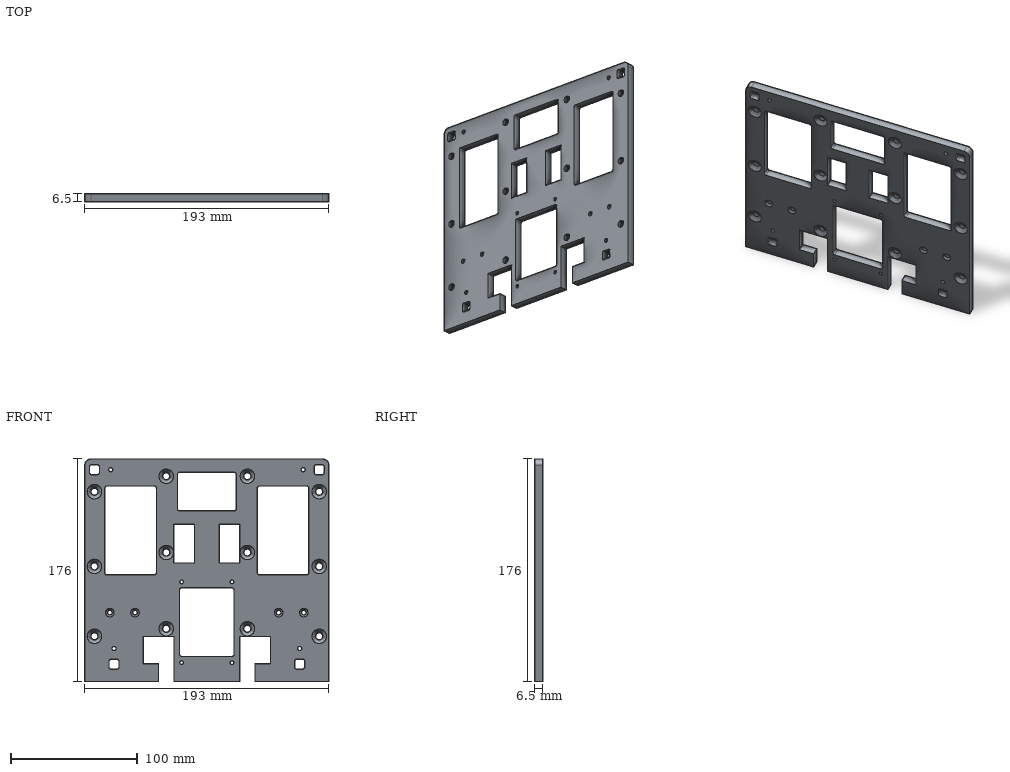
import cadquery as cq

WIDTH = 193.0
HEIGHT = 176.0
THICKNESS = 6.5
TOP_CORNER_RADIUS = 5.0

SCREW_DIAMETER = 5.5
SCREW_HEAD_DIAMETER = 11.4
OUTER_SCREW_X = 88.8
OUTER_SCREW_Z = (35.9, 91.0, 150.2)
INNER_SCREW_X = 32.0
INNER_SCREW_Z = (41.9, 102.1, 162.3)

SMALL_SCREW_DIAMETER = 3.5
SMALL_SCREW_HEAD_DIAMETER = 6.8
SMALL_SCREW_X = (56.7, 76.6)
SMALL_SCREW_Z = 54.6
COUNTERSINK_ANGLE = 90

SQUARE_SIDE = 7.7
SQUARE_CORNER_RADIUS = 1.5
PIN_DIAMETER = 3.0
UPPER_SQUARE_X = OUTER_SCREW_X
UPPER_SQUARE_Z = 167.5
UPPER_PIN_X = 76.0
LOWER_SQUARE_X = 73.3
LOWER_SQUARE_Z = 13.9
LOWER_PIN_Z = 26.2

WINDOW_CORNER_RADIUS = 1.5
SIDE_WINDOW_WIDTH = 40.5
SIDE_WINDOW_HEIGHT = 70.0
SIDE_WINDOW_X = 60.2
SIDE_WINDOW_BOTTOM = 84.5
TOP_WINDOW_WIDTH = 46.3
TOP_WINDOW_HEIGHT = 30.3
TOP_WINDOW_BOTTOM = 135.1
SLOT_WINDOW_WIDTH = 16.0
SLOT_WINDOW_HEIGHT = 30.3
SLOT_WINDOW_X = 18.0
SLOT_WINDOW_BOTTOM = 94.0
LOWER_WINDOW_WIDTH = 42.8
LOWER_WINDOW_HEIGHT = 54.0
LOWER_WINDOW_BOTTOM = 20.0

MOUNT_DIAMETER = 2.7
MOUNT_X = 19.9
MOUNT_Z = (15.0, 79.0)

NOTCH_INNER_X = 26.0
NOTCH_MOUTH_WIDTH = 12.0
NOTCH_WIDTH = 24.1
NOTCH_LEDGE_Z = 14.3
NOTCH_TOP_Z = 35.7


def mirrored(x_places, z_places):
    """Every (x, z) combination, on both sides of the plane of symmetry."""
    return [(side * x, z) for side in (-1, 1) for x in x_places for z in z_places]


def front_sketch():
    """A workplane on the front face, with local axes along X and Z."""
    return cq.Workplane("XZ")


def through(sketch):
    """Extrude a front-face sketch through the full thickness."""
    return sketch.extrude(-THICKNESS)


def round_holes(points, diameter):
    return through(front_sketch().pushPoints(points).circle(diameter / 2))


def rectangular_holes(points, width, height, corner_radius=0):
    holes = through(front_sketch().pushPoints(points).rect(width, height))
    if corner_radius:
        holes = holes.edges("|Y").fillet(corner_radius)
    return holes


def windows(x_places, bottom, width, height, corner_radius=0):
    points = [(x, bottom + height / 2) for x in x_places]
    return rectangular_holes(points, width, height, corner_radius)


def notch(side):
    """L-shaped notch; side is -1 for left and 1 for right."""
    inner = side * NOTCH_INNER_X
    mouth = side * (NOTCH_INNER_X + NOTCH_MOUTH_WIDTH)
    outer = side * (NOTCH_INNER_X + NOTCH_WIDTH)
    outline = [
        (inner, 0),
        (inner, NOTCH_TOP_Z),
        (outer, NOTCH_TOP_Z),
        (outer, NOTCH_LEDGE_Z),
        (mouth, NOTCH_LEDGE_Z),
        (mouth, 0),
    ]
    return through(front_sketch().polyline(outline).close())


def drill_countersunk(body, points, diameter, head_diameter):
    """Through holes countersunk from the front face."""
    face = body.faces("<Y").workplane(origin=(0, 0, 0))
    return face.pushPoints(points).cskHole(diameter, head_diameter, COUNTERSINK_ANGLE)


plate = cq.Workplane("XY").box(WIDTH, THICKNESS, HEIGHT, centered=(True, False, False))
plate = plate.edges("|Y and >Z").fillet(TOP_CORNER_RADIUS)

side_window_x = (-SIDE_WINDOW_X, SIDE_WINDOW_X)
slot_window_x = (-SLOT_WINDOW_X, SLOT_WINDOW_X)
plate = plate.cut(
    windows(side_window_x, SIDE_WINDOW_BOTTOM, SIDE_WINDOW_WIDTH, SIDE_WINDOW_HEIGHT, WINDOW_CORNER_RADIUS)
)
plate = plate.cut(
    windows((0,), TOP_WINDOW_BOTTOM, TOP_WINDOW_WIDTH, TOP_WINDOW_HEIGHT, WINDOW_CORNER_RADIUS)
)
plate = plate.cut(
    windows((0,), LOWER_WINDOW_BOTTOM, LOWER_WINDOW_WIDTH, LOWER_WINDOW_HEIGHT, WINDOW_CORNER_RADIUS)
)
plate = plate.cut(windows(slot_window_x, SLOT_WINDOW_BOTTOM, SLOT_WINDOW_WIDTH, SLOT_WINDOW_HEIGHT))

for notch_side in (-1, 1):
    plate = plate.cut(notch(notch_side))

square_points = mirrored((UPPER_SQUARE_X,), (UPPER_SQUARE_Z,))
square_points += mirrored((LOWER_SQUARE_X,), (LOWER_SQUARE_Z,))
plate = plate.cut(rectangular_holes(square_points, SQUARE_SIDE, SQUARE_SIDE, SQUARE_CORNER_RADIUS))
pin_points = mirrored((UPPER_PIN_X,), (UPPER_SQUARE_Z,))
pin_points += mirrored((LOWER_SQUARE_X,), (LOWER_PIN_Z,))
plate = plate.cut(round_holes(pin_points, PIN_DIAMETER))
plate = plate.cut(round_holes(mirrored((MOUNT_X,), MOUNT_Z), MOUNT_DIAMETER))

screw_points = mirrored((OUTER_SCREW_X,), OUTER_SCREW_Z) + mirrored((INNER_SCREW_X,), INNER_SCREW_Z)
plate = drill_countersunk(plate, screw_points, SCREW_DIAMETER, SCREW_HEAD_DIAMETER)
small_screw_points = mirrored(SMALL_SCREW_X, (SMALL_SCREW_Z,))
plate = drill_countersunk(plate, small_screw_points, SMALL_SCREW_DIAMETER, SMALL_SCREW_HEAD_DIAMETER)

result = plate